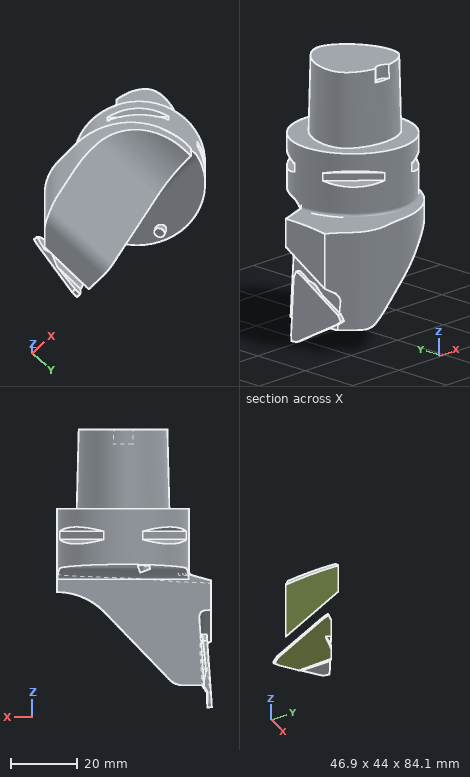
import cadquery as cq
import math


shank_height = 24.0
shank_radius = 14.05
shank_lobe = 0.9
shank_taper = 1 / 40
lobe_half_angle = 28.5
lobe_count = 3
spline_steps = 6
notch_radius = 3.5
notch_center_y = -14.4
notch_depth = 4.4

flange_radius = 40.0 / 2
neck_z = -19.0
groove_z = -8.1
groove_floor_radius = 17.7
groove_floor_height = 2.4
groove_flare_angle = 30
groove_count = 4
first_groove_angle = 45

head_left_x = -26.6
overall_depth = 44.0
head_front_y = flange_radius - overall_depth
head_back_y = 2.5
head_bottom_z = -53.4
head_corner_y = -13.9
head_corner_radius = 14.7
head_side_start_x = -3.0
cone_angle = 15
neck_fillet = 1.1
diagonal = math.sqrt(0.5)

ramp_angle = 46
ramp_top_z = -25.25
ramp_top_radius = 20.0
ramp_foot_radius = 5.55

rear_edge_z = -16.8
rear_slope = 4.4
rear_arc_start_y = 7.1
rear_arc_radius = 5.2

nozzle_diameter = 3.3
nozzle_tilt = 20
nozzle_tip = (-6.7, 15.0, -18.8)
nozzle_length = 4.2

insert_center = (-23.9, -6.8, -49.3)
insert_lean = -4
insert_swing = 2
insert_inradius = 7.0
insert_thickness = 2.0
edge_thickness = 1.5
relief_thickness = 1.0
insert_corners = 3
corner_pitch = 360 / insert_corners
corner_half_angle = 30
tip_setback = 1.2
tip_relief = 0.295
tip_relief_length = 3.2
tip_cut_length = 2.9
thin_start = 6.2
thin_end = 4.3
pocket_turn = -30
pocket_depth = 8.4
pocket_wall = 11.3
pocket_fillet = 1.7

big = 84.2


def shank_point(angle, radius):
    """Point of the constant-width lobed outline whose normal has this angle, crest at +Y."""
    from_crest = math.radians(lobe_count * (angle - 90))
    support = radius + shank_lobe * math.cos(from_crest)
    slide = -lobe_count * shank_lobe * math.sin(from_crest)
    a = math.radians(angle)
    return (
        support * math.cos(a) - slide * math.sin(a),
        support * math.sin(a) + slide * math.cos(a),
    )


def shank_outline(z, radius):
    pitch = 360 / lobe_count
    edges = []
    for lobe in range(lobe_count):
        crest = 90 + lobe * pitch
        limits = (crest - lobe_half_angle, crest + lobe_half_angle, crest + pitch - lobe_half_angle)
        for start, end in zip(limits, limits[1:]):
            angles = [start + (end - start) * i / spline_steps for i in range(spline_steps + 1)]
            points = [cq.Vector(*shank_point(a, radius), z) for a in angles]
            tangents = [
                cq.Vector(-math.sin(math.radians(a)), math.cos(math.radians(a)), 0)
                for a in (start, end)
            ]
            edges.append(cq.Edge.makeSpline(points, tangents=tangents))
    return cq.Wire.assembleEdges(edges)


def make_shank():
    base = shank_outline(0, shank_radius)
    top = shank_outline(shank_height, shank_radius - shank_taper * shank_height)
    notch = (
        cq.Workplane("XY", origin=(0, notch_center_y, shank_height))
        .circle(notch_radius)
        .extrude(-notch_depth)
    )
    return cq.Workplane(cq.Solid.makeLoft([base, top], True)).cut(notch)


def make_groove(angle):
    """Gripper groove: a flat floor with flaring sides, running along a chord."""
    depth = 2 * (flange_radius - groove_floor_radius)
    half_floor = groove_floor_height / 2
    half_mouth = half_floor + depth * math.tan(math.radians(groove_flare_angle))
    return (
        cq.Workplane("XZ")
        .moveTo(groove_floor_radius, groove_z - half_floor)
        .lineTo(groove_floor_radius + depth, groove_z - half_mouth)
        .lineTo(groove_floor_radius + depth, groove_z + half_mouth)
        .lineTo(groove_floor_radius, groove_z + half_floor)
        .close()
        .extrude(flange_radius, both=True)
        .rotate((0, 0, 0), (0, 0, 1), angle)
    )


def make_flange():
    flange = cq.Workplane("XY").circle(flange_radius).extrude(ramp_top_z)
    for i in range(groove_count):
        flange = flange.cut(make_groove(first_groove_angle + i * 360 / groove_count))
    return flange


def make_head_block():
    """Head seen along Z, its right side an arc that ends upright beside the flange."""
    corner_y = head_front_y + head_corner_radius
    slant_end_y = corner_y - head_corner_radius * diagonal
    slant_end_x = head_left_x + head_corner_y - slant_end_y
    corner_x = slant_end_x + head_corner_radius * diagonal
    corner_half = math.radians(45 / 2)
    corner_mid = (
        corner_x - head_corner_radius * math.sin(corner_half),
        corner_y - head_corner_radius * math.cos(corner_half),
    )

    side_radius = flange_radius - head_side_start_x
    side_y = head_front_y + side_radius
    side_mid = (head_side_start_x + side_radius * diagonal, side_y - side_radius * diagonal)

    return (
        cq.Workplane("XY", origin=(0, 0, head_bottom_z))
        .moveTo(head_left_x, head_back_y)
        .lineTo(head_left_x, head_corner_y)
        .lineTo(slant_end_x, slant_end_y)
        .threePointArc(corner_mid, (corner_x, head_front_y))
        .lineTo(head_side_start_x, head_front_y)
        .threePointArc(side_mid, (flange_radius, side_y))
        .lineTo(flange_radius, head_back_y)
        .close()
        .extrude(-head_bottom_z)
    )


def make_shoulder_envelope():
    """Everything below the conical shoulder and its fillet to the flange."""
    slope = math.tan(math.radians(cone_angle))
    turn = math.radians((90 - cone_angle) / 2)
    tangent = neck_fillet * math.tan(turn)
    cone_z = neck_z - tangent
    fillet_end = (
        flange_radius + tangent * math.cos(math.radians(cone_angle)),
        cone_z - tangent * math.sin(math.radians(cone_angle)),
    )
    fillet_mid = (
        flange_radius + neck_fillet * (1 - math.cos(turn)),
        neck_z - neck_fillet * math.sin(turn),
    )
    return (
        cq.Workplane("XZ")
        .moveTo(0, neck_z)
        .lineTo(flange_radius, neck_z)
        .threePointArc(fillet_mid, fillet_end)
        .lineTo(big, cone_z - slope * (big - flange_radius))
        .lineTo(big, -big)
        .lineTo(0, -big)
        .close()
        .revolve(360, (0, 0, 0), (0, 1, 0))
    )


def make_ramp_cutter():
    """Space under the head: an arc below the flange edge, a steep ramp, a rounded foot."""
    angle = math.radians(ramp_angle)
    half = angle / 2
    line_x = flange_radius - ramp_top_radius * math.sin(angle)
    line_z = ramp_top_z - ramp_top_radius * (1 - math.cos(angle))
    foot_z = head_bottom_z + ramp_foot_radius * (1 - math.cos(angle))
    foot_x = line_x - (line_z - foot_z) / math.tan(angle)
    flat_x = foot_x - ramp_foot_radius * math.sin(angle)
    top_mid = (
        flange_radius - ramp_top_radius * math.sin(half),
        ramp_top_z - ramp_top_radius * (1 - math.cos(half)),
    )
    foot_mid = (
        flat_x + ramp_foot_radius * math.sin(half),
        head_bottom_z + ramp_foot_radius * (1 - math.cos(half)),
    )
    return (
        cq.Workplane("XZ")
        .moveTo(big, ramp_top_z)
        .lineTo(flange_radius, ramp_top_z)
        .threePointArc(top_mid, (line_x, line_z))
        .lineTo(foot_x, foot_z)
        .threePointArc(foot_mid, (flat_x, head_bottom_z))
        .lineTo(flat_x, -big)
        .lineTo(big, -big)
        .close()
        .extrude(big, both=True)
    )


def make_rear_cutter():
    """Space behind the head, under the sloping rear underside of the flange."""
    slope = math.radians(rear_slope)
    arc_start_z = rear_edge_z - (flange_radius - rear_arc_start_y) * math.tan(slope)
    center_y = rear_arc_start_y + rear_arc_radius * math.sin(slope)
    center_z = arc_start_z - rear_arc_radius * math.cos(slope)
    end_angle = math.acos((head_back_y - center_y) / rear_arc_radius)
    end_z = center_z + rear_arc_radius * math.sin(end_angle)
    mid_angle = (end_angle + math.pi / 2 + slope) / 2
    arc_mid = (
        center_y + rear_arc_radius * math.cos(mid_angle),
        center_z + rear_arc_radius * math.sin(mid_angle),
    )
    far_y = 2 * flange_radius
    return (
        cq.Workplane("YZ")
        .moveTo(far_y, rear_edge_z + (far_y - flange_radius) * math.tan(slope))
        .lineTo(rear_arc_start_y, arc_start_z)
        .threePointArc(arc_mid, (head_back_y, end_z))
        .lineTo(head_back_y, -big)
        .lineTo(far_y, -big)
        .close()
        .extrude(big, both=True)
    )


def make_nozzle():
    return (
        cq.Workplane("XY")
        .circle(nozzle_diameter / 2)
        .extrude(nozzle_length)
        .rotate((0, 0, 0), (0, 1, 0), nozzle_tilt)
        .translate(nozzle_tip)
    )


def place_on_seat(shape):
    seat = cq.Plane(origin=insert_center, xDir=(0, -1, 0), normal=(-1, 0, 0))
    return cq.Workplane(shape.val().moved(cq.Location(seat.rotated((insert_lean, insert_swing, 0)))))


def make_pocket():
    pocket = (
        cq.Workplane("XY")
        .rect(big, big)
        .extrude(pocket_depth)
        .edges(">Y and <Z")
        .fillet(pocket_fillet)
        .translate((0, pocket_wall - big / 2, 0))
        .rotate((0, 0, 0), (0, 0, 1), pocket_turn)
    )
    return place_on_seat(pocket)


def make_insert():
    """Triangular plate; each corner is cut back to a short edge and thinned from below."""
    half_angle = math.radians(corner_half_angle)
    half_side = insert_inradius / math.tan(half_angle)
    corner = [
        (-insert_inradius, tip_relief_length - half_side),
        (tip_relief - insert_inradius, tip_setback - half_side),
        (
            tip_cut_length * math.cos(half_angle) - insert_inradius,
            tip_cut_length * math.sin(half_angle) - half_side,
        ),
    ]
    outline = []
    for i in range(insert_corners):
        turn = math.radians(i * corner_pitch)
        for u, v in corner:
            turned_u = u * math.cos(turn) - v * math.sin(turn)
            turned_v = u * math.sin(turn) + v * math.cos(turn)
            outline.append((turned_u, turned_v))
    insert = cq.Workplane("XY").polyline(outline).close().extrude(insert_thickness)

    thinning = (
        cq.Workplane("YZ")
        .moveTo(-thin_end, 0)
        .lineTo(-thin_start, insert_thickness - relief_thickness)
        .lineTo(-half_side, insert_thickness - edge_thickness)
        .lineTo(-half_side, 0)
        .close()
        .extrude(big, both=True)
    )
    for i in range(insert_corners):
        insert = insert.cut(thinning.rotate((0, 0, 0), (0, 0, 1), i * corner_pitch))
    return place_on_seat(insert)


head = make_head_block().intersect(make_shoulder_envelope())
holder = (
    make_flange()
    .union(head)
    .cut(make_ramp_cutter())
    .cut(make_rear_cutter())
    .cut(make_pocket())
    .union(make_shank())
    .union(make_nozzle())
)
insert = make_insert()

result = cq.Compound.makeCompound([holder.val(), insert.val()])